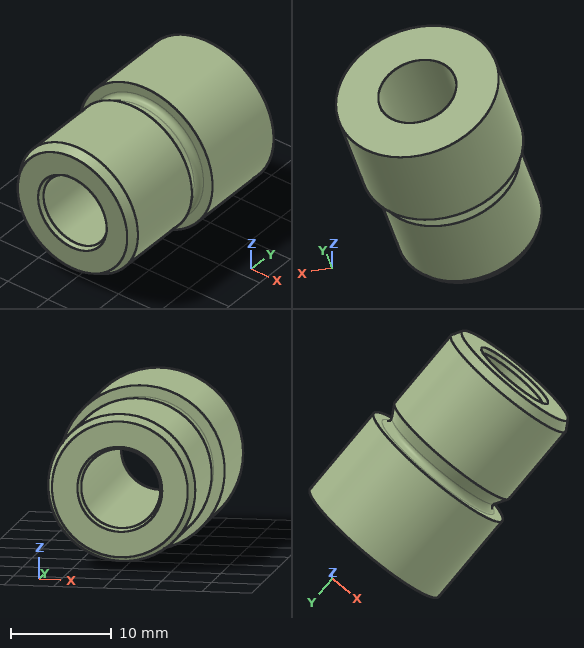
import cadquery as cq
import math

total_length = 22.0
head_diameter = 16.7
head_length = 10.0
body_diameter = 14.88
bore_diameter = 8.0

cone_angle = math.radians(30)
body_chamfer_length = 1.0
bore_chamfer_length = 0.5
bore_chamfer_width = bore_chamfer_length * math.tan(cone_angle)

groove_fillet_radius = 0.6
groove_bottom_radius = 6.62

head_radius = head_diameter / 2
body_radius = body_diameter / 2
bore_radius = bore_diameter / 2

shoulder_y = total_length - head_length


def outer_profile():
    """Half section of the solid bushing, with radius along X."""
    arc_center_y = shoulder_y - groove_fillet_radius
    arc_center_radius = groove_bottom_radius + groove_fillet_radius

    tangent_y = arc_center_y - groove_fillet_radius * math.sin(cone_angle)
    tangent_radius = arc_center_radius - groove_fillet_radius * math.cos(cone_angle)
    cone_start_y = tangent_y - (body_radius - tangent_radius) / math.tan(cone_angle)

    end_face_radius = body_radius - body_chamfer_length * math.tan(cone_angle)

    return (
        cq.Workplane("XY")
        .moveTo(0, 0)
        .lineTo(end_face_radius, 0)
        .lineTo(body_radius, body_chamfer_length)
        .lineTo(body_radius, cone_start_y)
        .lineTo(tangent_radius, tangent_y)
        .threePointArc((groove_bottom_radius, arc_center_y), (arc_center_radius, shoulder_y))
        .lineTo(head_radius, shoulder_y)
        .lineTo(head_radius, total_length)
        .lineTo(0, total_length)
        .close()
    )


def bore_profile():
    """Half section of the through bore with its chamfered mouth at the small end."""
    return (
        cq.Workplane("XY")
        .moveTo(0, 0)
        .lineTo(bore_radius + bore_chamfer_width, 0)
        .lineTo(bore_radius, bore_chamfer_length)
        .lineTo(bore_radius, total_length)
        .lineTo(0, total_length)
        .close()
    )


def revolve_about_axis(profile):
    return profile.revolve(360, (0, 0, 0), (0, 1, 0))


result = revolve_about_axis(outer_profile()).cut(revolve_about_axis(bore_profile()))